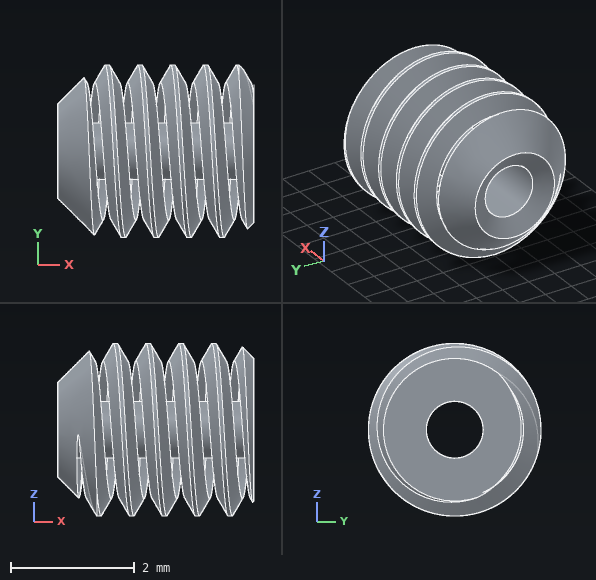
import cadquery as cq
import math

length = 3.17
major_radius = 1.395
root_radius = 1.07
point_radius = 0.76
end_radius = 1.15
bore_radius = 0.455
cup_depth = 0.175

pitch = 0.53
crest_width = 0.065
flank_angle = math.radians(30)
groove_phase = 0.67
lead_in_turns = 2
run_out_turns = 1
rod_overhang_turns = 3
clearance = 0.032


def blank():
    """Cylinder with 45 degree chamfers at both ends."""
    point_chamfer = major_radius - point_radius
    end_chamfer = major_radius - end_radius
    outline = (
        cq.Workplane("XY")
        .lineTo(0, point_radius)
        .lineTo(point_chamfer, major_radius)
        .lineTo(length - end_chamfer, major_radius)
        .lineTo(length, end_radius)
        .lineTo(length, 0)
        .close()
    )
    return outline.revolve(360, (0, 0, 0), (1, 0, 0))


def bore():
    """Through bore that flares into the conical cup."""
    outline = (
        cq.Workplane("XY")
        .lineTo(0, point_radius)
        .lineTo(cup_depth, bore_radius)
        .lineTo(length, bore_radius)
        .lineTo(length, 0)
        .close()
    )
    return outline.revolve(360, (0, 0, 0), (1, 0, 0))


def thread_groove():
    """Helical cutter: V profile whose rounded bottom is tangent to both flanks."""
    half_mouth = (pitch - crest_width) / 2
    sharp_depth = half_mouth / math.tan(flank_angle)
    sharp_radius = major_radius - sharp_depth
    root_round = (root_radius - sharp_radius) / (1 / math.sin(flank_angle) - 1)
    tangent_radius = root_radius + root_round * (1 - math.sin(flank_angle))
    tangent_offset = root_round * math.cos(flank_angle)
    top_radius = major_radius + clearance
    top_offset = half_mouth + clearance * math.tan(flank_angle)

    start = groove_phase - lead_in_turns * pitch
    turns = math.ceil((length - start) / pitch) + run_out_turns
    profile = (
        cq.Workplane("XZ")
        .moveTo(start - top_offset, top_radius)
        .lineTo(start - tangent_offset, tangent_radius)
        .threePointArc((start, root_radius), (start + tangent_offset, tangent_radius))
        .lineTo(start + top_offset, top_radius)
        .close()
    )
    helix = cq.Wire.makeHelix(
        pitch, turns * pitch, root_radius, cq.Vector(start, 0, 0), cq.Vector(1, 0, 0)
    )
    return profile.sweep(cq.Workplane(helix), isFrenet=True)


def threaded_rod():
    """Threaded rod longer than the screw, so that the groove runs past both ends."""
    overhang = rod_overhang_turns * pitch
    rod = cq.Workplane("YZ").workplane(offset=-overhang).circle(major_radius).extrude(length + 2 * overhang)
    return rod.cut(thread_groove())


result = blank().cut(bore()).intersect(threaded_rod())